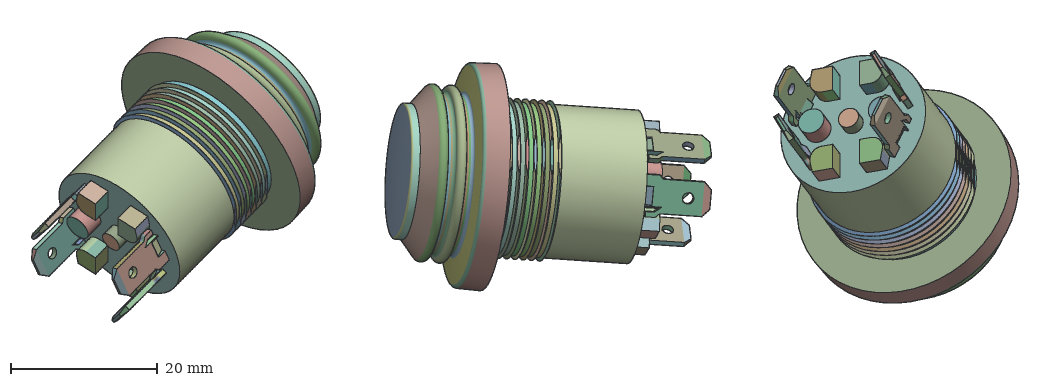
import cadquery as cq
import math


OVERALL_LENGTH = 42.3

BARREL_RADIUS = 21.02 / 2
BARREL_LENGTH = 20.05
RIDGE_RADIUS = 21.95 / 2
RIDGE_WIDTH = 0.5
RIDGE_PITCH = 1.15
RIDGE_COUNT = 7
RIDGE_OVERLAP = 0.42
FIRST_RIDGE_DEPTH = 1.05
RIDGE_FLATS_WIDTH = 21.1

FLANGE_RADIUS = 31.1 / 2
FLANGE_FRONT_RADIUS = 15.45
FLANGE_RIM_HEIGHT = 3.25
FLANGE_ROUND = 0.45
FLANGE_FACE_HEIGHT = 4.05

GROOVE_RADIUS = 10.95
GROOVE_ROUND = 0.45
GROOVE_FLOOR = 0.25
BEAD_RADIUS = 12.2
REAR_BEAD_ROUND = 0.68
FRONT_BEAD_ROUND = BEAD_RADIUS - GROOVE_RADIUS - GROOVE_ROUND

CAP_RADIUS = 18.65 / 2
CAP_BASE_HEIGHT = 11.3
CAP_ROUND = 0.25
DOME_RISE = 0.3
CAP_TOP_HEIGHT = 12.77

CENTER_PIN_DIAMETER = 2.9
CENTER_PIN_LENGTH = 1.85
SIDE_PIN_DIAMETER = 3.72
SIDE_PIN_OFFSET = 5.08
SIDE_PIN_LENGTH = 2.8
BLOCK_LENGTH = SIDE_PIN_LENGTH
BLOCK_INNER_X = 1.95
BLOCK_OUTER_X_TOP = 4.95
BLOCK_OUTER_X_BOTTOM = 5.63
BLOCK_TOP_Z = 7.95
BLOCK_BOTTOM_Z = 4.25
BLOCK_ROUND = 1.75

TAB_RADIUS = 7.85
TAB_ANGLE = 27.2
TAB_THICKNESS = 0.8
TAB_LENGTH = OVERALL_LENGTH - CAP_TOP_HEIGHT - BARREL_LENGTH
TAB_ROOT_WIDTH = 5.85
TAB_BLADE_WIDTH = 4.8
SHOULDER_DEPTH = 2.7
TAB_TIP_CHAMFER = 1.05
TAB_TIP_BEVEL = 0.2
TAB_HOLE_DIAMETER = 1.55
TAB_HOLE_DEPTH = 6.3

SLIT_EDGE = 1.5
EAR_WIDTH = 0.7
EAR_START_DEPTH = 0.6
EAR_BEND_DEPTH = 1.78

WINDOW_WIDTH = 2.6
WINDOW_LENGTH = 1.4
WINDOW_ROOT_DEPTH = 0.65
WINDOW_END_DEPTH = 0.15
BUMP_WIDTH = 2.25
BUMP_HEIGHT = 0.42


def revolve_about_y(profile):
    return profile.close().revolve(360, (0, 0, 0), (0, 1, 0))


def add_arc(profile, center, radius, start_angle, end_angle):
    """Add an arc about center, running between two angles in degrees."""
    middle, end = (
        (center[0] + radius * math.cos(angle), center[1] + radius * math.sin(angle))
        for angle in (math.radians((start_angle + end_angle) / 2), math.radians(end_angle))
    )
    return profile.threePointArc(middle, end)


def add_groove(profile, base_height):
    """Add a rounded groove that starts at base_height and opens outward."""
    groove_top = GROOVE_RADIUS + GROOVE_ROUND
    rear_center = (groove_top, base_height + GROOVE_ROUND)
    front_center = (groove_top, rear_center[1] + GROOVE_FLOOR)
    profile = add_arc(profile, rear_center, GROOVE_ROUND, 270, 180)
    profile = profile.lineTo(GROOVE_RADIUS, front_center[1])
    return add_arc(profile, front_center, GROOVE_ROUND, 180, 90)


def make_turned_body():
    """Cap, bellows, flange and plain barrel as one turned solid."""
    groove_top = GROOVE_RADIUS + GROOVE_ROUND
    rear_bead_center = (
        BEAD_RADIUS - REAR_BEAD_ROUND,
        FLANGE_FACE_HEIGHT + 2 * GROOVE_ROUND + GROOVE_FLOOR + REAR_BEAD_ROUND,
    )
    rear_bead_top = rear_bead_center[1] + REAR_BEAD_ROUND
    front_bead_center = (
        groove_top,
        rear_bead_top + 2 * GROOVE_ROUND + GROOVE_FLOOR + FRONT_BEAD_ROUND,
    )

    cone_dx = CAP_RADIUS - front_bead_center[0]
    cone_dy = CAP_BASE_HEIGHT - front_bead_center[1]
    tangent_angle = math.degrees(
        math.atan2(cone_dy, cone_dx) - math.acos(FRONT_BEAD_ROUND / math.hypot(cone_dx, cone_dy))
    )

    profile = (
        cq.Workplane("XY")
        .moveTo(0, -BARREL_LENGTH)
        .lineTo(BARREL_RADIUS, -BARREL_LENGTH)
        .lineTo(BARREL_RADIUS, 0)
        .lineTo(FLANGE_RADIUS, 0)
        .lineTo(FLANGE_FRONT_RADIUS, FLANGE_RIM_HEIGHT)
    )
    profile = add_arc(
        profile, (FLANGE_FRONT_RADIUS - FLANGE_ROUND, FLANGE_RIM_HEIGHT), FLANGE_ROUND, 0, 90
    )
    profile = profile.lineTo(groove_top, FLANGE_FACE_HEIGHT)

    profile = add_groove(profile, FLANGE_FACE_HEIGHT)
    profile = profile.lineTo(rear_bead_center[0], rear_bead_center[1] - REAR_BEAD_ROUND)
    profile = add_arc(profile, rear_bead_center, REAR_BEAD_ROUND, -90, 90)
    profile = profile.lineTo(groove_top, rear_bead_top)
    profile = add_groove(profile, rear_bead_top)

    profile = add_arc(profile, front_bead_center, FRONT_BEAD_ROUND, -90, tangent_angle)
    cap_round_center = (CAP_RADIUS - CAP_ROUND, CAP_TOP_HEIGHT - DOME_RISE - CAP_ROUND)
    profile = profile.lineTo(CAP_RADIUS, CAP_BASE_HEIGHT).lineTo(CAP_RADIUS, cap_round_center[1])
    profile = add_arc(profile, cap_round_center, CAP_ROUND, 0, 90)

    dome_chord = cap_round_center[0]
    dome_radius = (dome_chord**2 + DOME_RISE**2) / (2 * DOME_RISE)
    half_chord = dome_chord / 2
    half_chord_height = CAP_TOP_HEIGHT - dome_radius + math.sqrt(dome_radius**2 - half_chord**2)
    profile = profile.threePointArc((half_chord, half_chord_height), (0, CAP_TOP_HEIGHT))
    return revolve_about_y(profile)


def make_ridges():
    """Pointed rings around the barrel, cut by flats on the two X sides."""
    core_radius = BARREL_RADIUS - RIDGE_OVERLAP
    ridges = cq.Workplane("XY")
    for index in range(RIDGE_COUNT):
        y = -FIRST_RIDGE_DEPTH - index * RIDGE_PITCH
        profile = (
            cq.Workplane("XY")
            .moveTo(core_radius, y - RIDGE_WIDTH / 2)
            .lineTo(BARREL_RADIUS, y - RIDGE_WIDTH / 2)
            .lineTo(RIDGE_RADIUS, y)
            .lineTo(BARREL_RADIUS, y + RIDGE_WIDTH / 2)
            .lineTo(core_radius, y + RIDGE_WIDTH / 2)
        )
        ridges = ridges.add(revolve_about_y(profile))
    flats = cq.Workplane("XY").box(RIDGE_FLATS_WIDTH, 2 * BARREL_LENGTH, 2 * RIDGE_RADIUS)
    return ridges.combine().intersect(flats)


def rear_face():
    """Sketch plane on the rear face: X is kept, Y is Z, extrusion goes to -Y."""
    return cq.Workplane("XZ", origin=(0, -BARREL_LENGTH, 0))


def make_pins():
    center_pin = rear_face().circle(CENTER_PIN_DIAMETER / 2).extrude(CENTER_PIN_LENGTH)
    side_pins = (
        rear_face()
        .pushPoints([(-SIDE_PIN_OFFSET, 0), (SIDE_PIN_OFFSET, 0)])
        .circle(SIDE_PIN_DIAMETER / 2)
        .extrude(SIDE_PIN_LENGTH)
    )
    return center_pin.union(side_pins)


def make_blocks():
    """Four blocks with a slanted outer side and one rounded corner."""
    block = (
        rear_face()
        .moveTo(BLOCK_INNER_X, BLOCK_TOP_Z)
        .lineTo(BLOCK_OUTER_X_TOP, BLOCK_TOP_Z)
        .lineTo(BLOCK_OUTER_X_BOTTOM, BLOCK_BOTTOM_Z)
        .lineTo(BLOCK_INNER_X, BLOCK_BOTTOM_Z)
        .close()
        .extrude(BLOCK_LENGTH)
        .edges("|Y and >X and <Z")
        .fillet(BLOCK_ROUND)
    )
    upper_blocks = block.union(block.mirror("YZ"))
    return upper_blocks.union(upper_blocks.mirror("XY"))


def make_ramp(width, root_height, end_height):
    """Wedge as long as the window, standing on the XY plane with its root at y = 0."""
    corners = [(0, 0), (WINDOW_LENGTH, 0), (0, root_height)]
    if end_height > 0:
        corners.insert(2, (WINDOW_LENGTH, end_height))
    return cq.Workplane("YZ").polyline(corners).close().extrude(width / 2, both=True)


def make_tab():
    """One terminal on the +X side: its outer face looks to +X, its ear to +Z."""
    half_root = TAB_ROOT_WIDTH / 2
    half_blade = TAB_BLADE_WIDTH / 2
    half_tip = half_blade - TAB_TIP_CHAMFER
    shoulder_start = SHOULDER_DEPTH - (half_root - half_blade)
    chamfer_start = TAB_LENGTH - TAB_TIP_CHAMFER
    ear_inner = half_root - EAR_WIDTH
    ear_curve_depth = (EAR_BEND_DEPTH + SHOULDER_DEPTH) / 2
    ear_curve_z = (half_root + half_blade) / 2

    blade = (
        cq.Workplane("XY")
        .moveTo(-half_root, 0)
        .lineTo(-half_root, shoulder_start)
        .lineTo(-half_blade, SHOULDER_DEPTH)
        .lineTo(-half_blade, chamfer_start)
        .lineTo(-half_tip, TAB_LENGTH)
        .lineTo(half_tip, TAB_LENGTH)
        .lineTo(half_blade, chamfer_start)
        .lineTo(half_blade, SHOULDER_DEPTH)
        .spline(
            [(ear_curve_z, ear_curve_depth), (half_root, EAR_BEND_DEPTH)],
            tangents=[(0, -1), (0, -1)],
            includeCurrent=True,
        )
        .lineTo(half_root, EAR_START_DEPTH)
        .lineTo(ear_inner, EAR_START_DEPTH)
        .lineTo(ear_inner, EAR_BEND_DEPTH)
        .lineTo(SLIT_EDGE, SHOULDER_DEPTH)
        .lineTo(SLIT_EDGE, 0)
        .close()
        .extrude(TAB_THICKNESS / 2, both=True)
        .cut(
            cq.Workplane("XY")
            .center(0, TAB_HOLE_DEPTH)
            .circle(TAB_HOLE_DIAMETER / 2)
            .extrude(TAB_THICKNESS, both=True)
        )
    )

    half_thickness = TAB_THICKNESS / 2
    edge_outline = (
        cq.Workplane("YZ")
        .polyline(
            [
                (0, -half_thickness),
                (chamfer_start, -half_thickness),
                (TAB_LENGTH, TAB_TIP_BEVEL - half_thickness),
                (TAB_LENGTH, half_thickness - TAB_TIP_BEVEL),
                (chamfer_start, half_thickness),
                (0, half_thickness),
            ]
        )
        .close()
        .extrude(half_root, both=True)
    )
    blade = blade.intersect(edge_outline)

    window = make_ramp(WINDOW_WIDTH, WINDOW_ROOT_DEPTH, WINDOW_END_DEPTH)
    bump = make_ramp(BUMP_WIDTH, BUMP_HEIGHT, 0)
    blade = blade.cut(window.translate((0, 0, -half_thickness)))
    blade = blade.union(bump.translate((0, 0, half_thickness)))

    return (
        blade.mirror("XZ")
        .rotate((0, 0, 0), (0, 1, 0), -90)
        .translate((TAB_RADIUS, -BARREL_LENGTH, 0))
    )


def make_tabs():
    tab = make_tab()
    tabs = cq.Workplane("XY")
    for angle in (-TAB_ANGLE, TAB_ANGLE, 180 - TAB_ANGLE, 180 + TAB_ANGLE):
        tabs = tabs.add(tab.rotate((0, 0, 0), (0, 1, 0), angle))
    return tabs.combine()


result = make_turned_body()
for feature in (make_ridges(), make_pins(), make_blocks(), make_tabs()):
    result = result.union(feature)